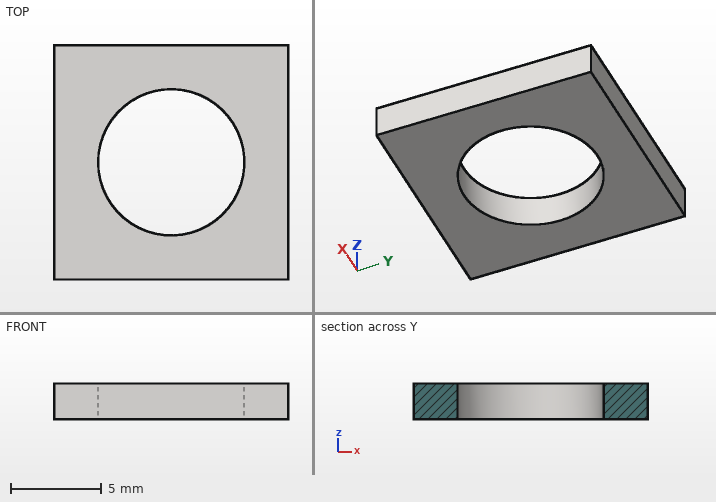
import cadquery as cq

side_length = 13.0
thickness = 2.0
hole_diameter = 8.1

result = (
    cq.Workplane("XY")
    .box(side_length, side_length, thickness)
    .faces(">Z")
    .workplane()
    .hole(hole_diameter)
)